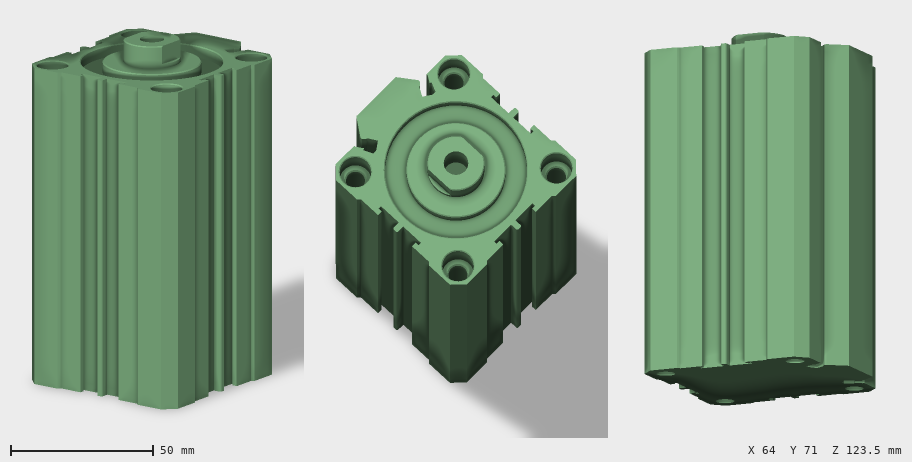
import cadquery as cq

overall_height = 123.5
rod_projection = 8.0
body_height = overall_height - rod_projection
half_width = 32.0
corner_chamfer = 4.2

panel_depth = 1.0
panel_half_top = 17.5
panel_half_floor = 16.5
panel_offset = half_width - panel_depth

slot_half_mouth = 8.3
slot_half_undercut = 9.8
slot_floor_offset = 27.9
slot_lip_offset = 29.1
rib_half_width = 1.1
rib_tip_chamfer = 0.4

rail_top = 39.0
rail_half_top = 10.0
slanted_slot_points = [
    (14.7, 32.5),
    (14.7, 31.7),
    (13.6, 30.6),
    (13.2, 30.6),
    (11.2, 27.3),
    (14.3, 25.2),
    (15.8, 25.2),
    (17.3, 28.5),
    (16.7, 28.9),
    (18.3, 31.4),
]

recess_radius = 25.1
collar_radius = 17.4
recess_depth = 4.1
edge_chamfer = 0.4

mount_spacing = 50.0
mount_hole_radius = 3.3
mount_seat_chamfer = 0.5
counterbore_radius = 5.5
counterbore_depth = 10.0
counterbore_chamfer = 0.4

rod_radius = 10.0
rod_insertion = 2 * rod_radius
rod_bottom = body_height - rod_insertion
flat_half_width = 8.4
flat_height = 6.5
rod_hole_radius = 4.3
rod_hole_depth = 13.0


def mirrored(points):
    """Return the points reflected in the YZ plane, in reverse order."""
    return [(-x, y) for x, y in reversed(points)]


def make_profile():
    """Extrude the body outline, without the T-slots."""
    post_end = half_width - corner_chamfer
    right_half = [
        (rail_half_top, rail_top),
        *slanted_slot_points,
        (slanted_slot_points[-1][0], half_width),
        (post_end, half_width),
        (half_width, post_end),
        (half_width, panel_half_top),
        (panel_offset, panel_half_floor),
        (panel_offset, -panel_half_floor),
        (half_width, -panel_half_top),
        (half_width, -post_end),
        (post_end, -half_width),
        (panel_half_top, -half_width),
        (panel_half_floor, -panel_offset),
    ]
    outline = right_half + mirrored(right_half)
    return cq.Workplane("XY").polyline(outline).close().extrude(body_height)


def make_half_slot():
    """Cutter for the part of the -Y T-slot on the +X side of its rib."""
    points = [
        (rib_half_width - rib_tip_chamfer, -half_width),
        (rib_half_width - rib_tip_chamfer, -panel_offset),
        (rib_half_width, rib_tip_chamfer - panel_offset),
        (rib_half_width, -slot_floor_offset),
        (slot_half_undercut, -slot_floor_offset),
        (slot_half_undercut, -slot_lip_offset),
        (slot_half_mouth, -slot_lip_offset),
        (slot_half_mouth, -half_width),
    ]
    return cq.Workplane("XY").polyline(points).close().extrude(body_height)


def cut_t_slots(body):
    """Cut the two halves of the T-slot into the -X, -Y and +X faces."""
    for half_slot in (make_half_slot(), make_half_slot().mirror("YZ")):
        for angle in (-90, 0, 90):
            body = body.cut(half_slot.rotate((0, 0, 0), (0, 0, 1), angle))
    return body


def cut_recess(body):
    """Sink the ring around the collar and chamfer its two upper edges."""
    recess_floor = body_height - recess_depth
    recess = (
        cq.Workplane("XY", origin=(0, 0, recess_floor))
        .circle(recess_radius)
        .circle(collar_radius)
        .extrude(recess_depth)
    )
    ring = [
        (recess_radius + edge_chamfer, body_height),
        (recess_radius, body_height - edge_chamfer),
        (collar_radius, body_height - edge_chamfer),
        (collar_radius - edge_chamfer, body_height),
    ]
    chamfers = cq.Workplane("XZ").polyline(ring).close().revolve(360, (0, 0, 0), (0, 1, 0))
    return body.cut(recess).cut(chamfers)


def cut_mount_holes(body):
    """Cut the four stepped through holes."""
    seat = body_height - counterbore_depth
    half_section = [
        (0, 0),
        (mount_hole_radius, 0),
        (mount_hole_radius, seat - mount_seat_chamfer),
        (mount_hole_radius + mount_seat_chamfer, seat),
        (counterbore_radius, seat),
        (counterbore_radius, body_height - counterbore_chamfer),
        (counterbore_radius + counterbore_chamfer, body_height),
        (0, body_height),
    ]
    hole = cq.Workplane("XZ").polyline(half_section).close().revolve(360, (0, 0, 0), (0, 1, 0))
    for x in (-mount_spacing / 2, mount_spacing / 2):
        for y in (-mount_spacing / 2, mount_spacing / 2):
            body = body.cut(hole.translate((x, y, 0)))
    return body


def make_housing():
    """Cylinder body with a blind bore for the rod."""
    body = cut_mount_holes(cut_recess(cut_t_slots(make_profile())))
    bore = cq.Workplane("XY", origin=(0, 0, rod_bottom)).circle(rod_radius).extrude(rod_insertion)
    return body.cut(bore)


def make_rod():
    """Round rod with flats on its -X and +X sides and a blind hole in its end."""
    rod = (
        cq.Workplane("XY", origin=(0, 0, rod_bottom))
        .circle(rod_radius)
        .extrude(overall_height - rod_bottom)
        .faces(">Z")
        .chamfer(edge_chamfer)
    )
    for side in (-1, 1):
        flat = cq.Workplane("XY").box(rod_radius, 2 * rod_radius, flat_height, centered=(True, True, False))
        flat_center = side * (flat_half_width + rod_radius / 2)
        rod = rod.cut(flat.translate((flat_center, 0, overall_height - flat_height)))
    hole = (
        cq.Workplane("XY", origin=(0, 0, overall_height - rod_hole_depth))
        .circle(rod_hole_radius)
        .extrude(rod_hole_depth)
    )
    return rod.cut(hole)


housing = make_housing()
rod = make_rod()
result = cq.Compound.makeCompound([housing.val(), rod.val()])